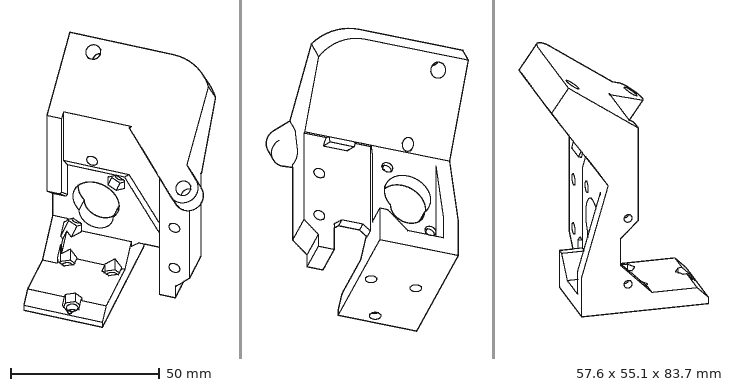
import cadquery as cq
import math

body_width = 51.55
body_height = 83.7
top_tilt = math.radians(35)
top_thickness = 10.5
back_reach = 55.1

heel_y = 44.4
heel_height = 14.5
neck_height = 46.7
plate_front = 26.6
top_edge_y = back_reach - top_thickness * math.sin(top_tilt)
back_edge_z = body_height - top_thickness * math.cos(top_tilt)
neck_y = back_reach - (back_edge_z - neck_height) * math.tan(top_tilt)
corner_start = 36.8
corner_radius = 17.15

wall_width = 5.3
wall_front = 24.6
wall_bottom = 33.0
wall_ramp_start = 19.8

foot_width = 27.95
foot_thickness = 6.3
toe_height = 2.3
foot_ramp_start = 24.0

post_left = 40.75
post_front = 22.3
post_foot_right = 46.45
post_cut_low = 5.0
notch_top = 13.2
notch_side_height = 11.0
notch_bevel = 2.7

pocket_floor = 30.8
pocket_top = 41.1
pocket_corner_x = 25.5
pocket_slope_angle = math.radians(60)
pocket_bevel = 5.3
overhang_back = 26.95
overhang_bevel = 0.7

plate_back = 36.4
post_back = 34.4
heel_top = 13.4
heel_ridge_left = 25.1

motor_x = 15.4
motor_z = 27.6
motor_radius = 8.2
clearance_z = 22.0
clearance_radius = 6.0

boss_u = 52.5
boss_v = -44.5
boss_radius = 5.1
arm_depth = 9.95
nose_depth = 15.1
nose_setback = 6.4
nose_radius = 3.0
arm_length = 28.45

screw_diameter = 3.85
nut_flats = 5.85
nut_diameter = nut_flats / math.cos(math.radians(30))
plate_nut_depth = 4.0
toe_nut_floor = 2.5
rear_nut_floor = 3.35
rod_diameter = 5.1
boss_hole_depth = arm_depth
top_hole_u = 9.7
top_hole_v = -5.0
side_hole_diameter = 2.8
side_hole_depth = 4.2
side_hole_y = 28.2
plate_nut_holes = [(22.6, 37.7), (7.3, 14.5)]
plain_holes = [(motor_x, 48.95), (46.1, 31.05), (46.1, 13.2)]
foot_holes = [(7.9, 22.6, rear_nut_floor), (23.8, 22.6, rear_nut_floor), (16.0, 3.7, toe_nut_floor)]
side_hole_heights = [34.05, 10.1]

through = 2 * body_height


def top_plane(depth=0.0):
    """Plane parallel to the tilted top face, sunk into the body by depth."""
    normal = cq.Vector(0, -math.sin(top_tilt), math.cos(top_tilt))
    origin = cq.Vector(0, top_edge_y, body_height) - normal * depth
    return cq.Plane(origin=origin, xDir=(1, 0, 0), normal=normal)


def top_height(y):
    """Height of the tilted top face at a given Y."""
    return body_height - (top_edge_y - y) * math.tan(top_tilt)


def slab(profile, x_start, x_end):
    """Closed Y-Z profile extruded from x_start to x_end."""
    return cq.Workplane("YZ", origin=(x_start, 0, 0)).polyline(profile).close().extrude(x_end - x_start)


def body_profile(front):
    """Side profile of the body with a flat front at the given Y."""
    return [
        (front, 0),
        (heel_y, 0),
        (heel_y, heel_height),
        (neck_y, neck_height),
        (back_reach, back_edge_z),
        (top_edge_y, body_height),
        (front, top_height(front)),
    ]


def cut_along_y(outline):
    """Closed X-Z outline as a cutter running through the whole depth."""
    return cq.Workplane("XZ").polyline(outline).close().extrude(through, both=True)


def pocket_outline(offset):
    """Pocket section in X-Z, grown outward by offset along its top and sloping side."""
    top = pocket_top + offset
    corner = pocket_corner_x + offset * math.tan(pocket_slope_angle / 2)
    slope_end = top - (post_left - corner) * math.tan(pocket_slope_angle)
    return [(0, 0), (0, top), (corner, top), (post_left, slope_end), (post_left, 0)]


def make_pocket():
    return (
        cq.Workplane("XZ", origin=(0, pocket_floor, 0))
        .polyline(pocket_outline(0)).close()
        .workplane(offset=pocket_floor - plate_front)
        .polyline(pocket_outline(pocket_bevel)).close()
        .loft(ruled=True)
    )


def make_wall():
    ramp_top = foot_thickness + pocket_floor - wall_ramp_start
    upper = [
        (wall_front, wall_bottom),
        (wall_front, top_height(wall_front)),
        (pocket_floor, top_height(pocket_floor)),
        (pocket_floor, overhang_back),
    ]
    lower = [
        (wall_ramp_start, 0),
        (wall_ramp_start, foot_thickness),
        (pocket_floor, ramp_top),
        (pocket_floor, 0),
    ]
    overhang_edge = (wall_width, (wall_front + pocket_floor) / 2, (wall_bottom + overhang_back) / 2)
    upper_wall = (
        slab(upper, 0, wall_width)
        .edges(cq.selectors.NearestToPointSelector(overhang_edge))
        .chamfer(overhang_bevel)
    )
    return upper_wall.union(slab(lower, 0, wall_width))


def make_foot():
    profile = [
        (0, 0),
        (0, toe_height),
        (foot_thickness - toe_height, foot_thickness),
        (foot_ramp_start, foot_thickness),
        (pocket_floor, foot_thickness + pocket_floor - foot_ramp_start),
        (pocket_floor, 0),
    ]
    return slab(profile, 0, foot_width)


def arm_outline(plane, u, v, radius, length):
    """Strip with a round nose centred on (u, v), running back at 45 degrees."""
    side = radius * math.sqrt(0.5)
    back = length * math.sqrt(0.5)
    return (
        cq.Workplane(plane)
        .moveTo(u - side - back, v - side + back)
        .lineTo(u - side, v - side)
        .threePointArc((u + side, v - side), (u + side, v + side))
        .lineTo(u + side - back, v + side + back)
        .close()
    )


def make_arm():
    upper = arm_outline(top_plane(arm_depth), boss_u, boss_v, boss_radius, arm_length).extrude(arm_depth)

    shift = (boss_radius - nose_radius) * math.sqrt(0.5)
    setback = nose_setback * math.sqrt(0.5)
    nose_u = boss_u - setback - shift
    nose_v = boss_v + setback - shift
    start = arm_outline(top_plane(arm_depth), boss_u, boss_v, boss_radius, arm_length)
    end = arm_outline(
        top_plane(arm_depth + nose_depth), nose_u, nose_v, nose_radius, arm_length - nose_setback
    )
    nose = cq.Workplane(cq.Solid.makeLoft([start.wires().val(), end.wires().val()], True))

    corner_v = boss_v + boss_radius * math.sqrt(2) + boss_u - body_width
    web = (
        cq.Workplane(top_plane(arm_depth))
        .polyline([
            (body_width, corner_v),
            (body_width, corner_v + arm_length / 2),
            (body_width - arm_length / 2, corner_v + arm_length / 2),
        ])
        .close()
        .extrude(arm_depth)
    )
    envelope = slab(body_profile(0), 0, through)
    return upper.union(nose).union(web).intersect(envelope)


def corner_cut():
    """Cutter that rounds the back right corner of the tilted top."""
    run = body_width - corner_start
    drop = corner_radius - math.sqrt(corner_radius**2 - run**2)
    half = run / 2
    half_drop = corner_radius - math.sqrt(corner_radius**2 - half**2)
    return (
        cq.Workplane(top_plane())
        .moveTo(corner_start, 0)
        .threePointArc((corner_start + half, -half_drop), (body_width, -drop))
        .lineTo(body_width, 0)
        .close()
        .extrude(-2 * top_thickness)
    )


def notch_cut():
    return cut_along_y([
        (foot_width, 0),
        (foot_width, notch_side_height),
        (foot_width + notch_bevel, notch_top),
        (post_left - notch_bevel, notch_top),
        (post_left, notch_side_height),
        (post_left, 0),
    ])


def post_foot_cut():
    return cut_along_y([
        (post_foot_right, 0),
        (post_foot_right, post_cut_low),
        (body_width, post_cut_low + body_width - post_foot_right),
        (body_width, 0),
    ])


def box(x_range, y_range, z_range):
    """Box spanning the given ranges."""
    size = [end - start for start, end in (x_range, y_range, z_range)]
    corner = (x_range[0], y_range[0], z_range[0])
    return cq.Workplane("XY", origin=corner).box(*size, centered=False)


def back_hollow():
    """Cutter that thins the plate from behind, leaving the left wall and a bevelled heel ridge."""
    behind_plate = box((wall_width, body_width), (plate_back, back_reach), (heel_top, neck_height))
    behind_post = box((foot_width, body_width), (post_back, back_reach), (0, neck_height))
    ridge_foot = heel_ridge_left - (heel_top - foot_thickness)
    beside_ridge = (
        cq.Workplane("XZ", origin=(0, back_reach, 0))
        .polyline([
            (wall_width, foot_thickness),
            (ridge_foot, foot_thickness),
            (heel_ridge_left, heel_top),
            (wall_width, heel_top),
        ])
        .close()
        .extrude(back_reach - plate_back)
    )
    return behind_plate.union(behind_post).union(beside_ridge)


result = slab(body_profile(plate_front), 0, body_width)
result = result.cut(make_pocket())
result = result.union(make_wall()).union(make_foot())
result = result.union(slab(body_profile(post_front), post_left, body_width))
result = result.cut(back_hollow())
result = result.cut(notch_cut()).cut(post_foot_cut()).cut(corner_cut())
result = result.union(make_arm())

for z, radius in [(motor_z, motor_radius), (clearance_z, clearance_radius)]:
    opening = cq.Workplane("XZ").center(motor_x, z).circle(radius).extrude(-through)
    result = result.cut(opening)

screws = cq.Workplane("XZ").pushPoints(plain_holes + plate_nut_holes).circle(screw_diameter / 2)
result = result.cut(screws.extrude(-through))
for x, z in plate_nut_holes:
    nut = (
        cq.Workplane("XZ", origin=(x, pocket_floor + plate_nut_depth, z))
        .transformed(rotate=(0, 0, 90))
        .polygon(6, nut_diameter)
        .extrude(pocket_floor)
    )
    result = result.cut(nut)

for x, y, nut_floor in foot_holes:
    hole = cq.Workplane("XY").center(x, y).circle(screw_diameter / 2).extrude(nut_floor)
    nut = (
        cq.Workplane("XY", origin=(x, y, nut_floor))
        .transformed(rotate=(0, 0, 90))
        .polygon(6, nut_diameter)
        .extrude(notch_top)
    )
    result = result.cut(hole).cut(nut)

for u, v, depth in [(top_hole_u, top_hole_v, 2 * top_thickness), (boss_u, boss_v, boss_hole_depth)]:
    hole = cq.Workplane(top_plane()).center(u, v).circle(rod_diameter / 2).extrude(-depth)
    result = result.cut(hole)

for z in side_hole_heights:
    hole = cq.Workplane("YZ").center(side_hole_y, z).circle(side_hole_diameter / 2).extrude(side_hole_depth)
    result = result.cut(hole)